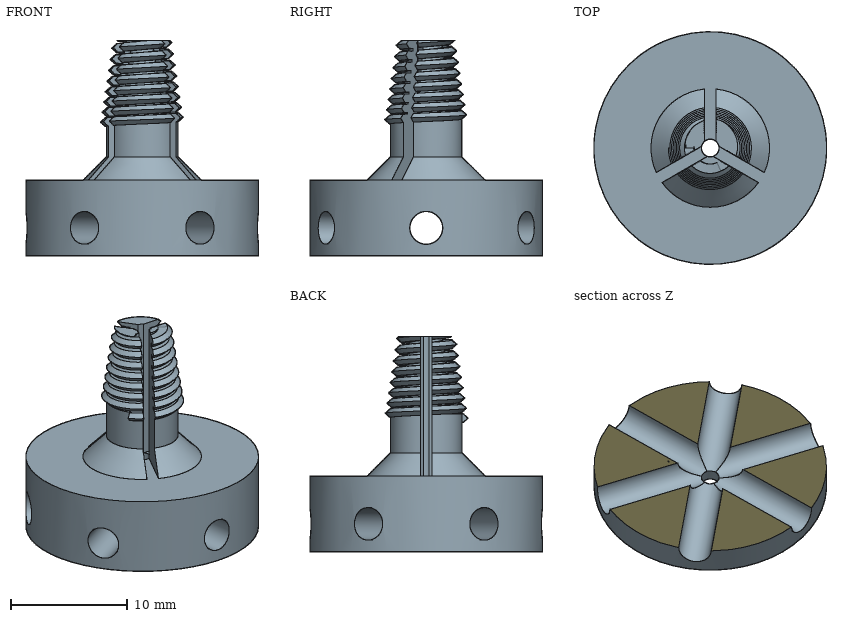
import cadquery as cq
import math

base_diameter = 20.0
base_height = 6.5
cross_hole_diameter = 2.8
cross_hole_height = 2.4
cross_hole_count = 3

total_height = 18.51
neck_radius = 3.09
foot_height = 2.0
foot_radius = neck_radius + foot_height
neck_top = 11.84
core_bottom_radius = 2.5
core_top_radius = 1.37

thread_turns = 8
thread_start_angle = 180
crest_start_height = 11.48
crest_start_radius = 3.6
crest_radius_step = 0.139
first_pitch = 0.839
pitch_growth = 0.0097
thread_half_width = 0.37
vee_depth = 0.41
thread_depth = 1.4
points_per_piece = 24

bore_diameter = 1.5
slot_width = 1.0
slot_length = base_diameter / 2
slot_angles = (90, 210, 330)
joint_slot_angle = slot_angles[1]


def make_base():
    """Disc with the tommy-bar holes running right across it."""
    base = cq.Workplane("XY").circle(base_diameter / 2).extrude(base_height)
    cross_hole = (
        cq.Workplane("YZ")
        .center(0, cross_hole_height)
        .circle(cross_hole_diameter / 2)
        .extrude(base_diameter / 2, both=True)
    )
    for index in range(cross_hole_count):
        angle = index * 180 / cross_hole_count
        base = base.cut(cross_hole.rotate((0, 0, 0), (0, 0, 1), angle))
    return base


def make_stem():
    """Foot, neck and core, turned from one half section."""
    return (
        cq.Workplane("XZ")
        .moveTo(0, base_height)
        .lineTo(foot_radius, base_height)
        .lineTo(neck_radius, base_height + foot_height)
        .lineTo(neck_radius, neck_top)
        .lineTo(core_bottom_radius, neck_top)
        .lineTo(core_top_radius, total_height)
        .lineTo(0, total_height)
        .close()
        .revolve(360, (0, 0), (0, 1))
    )


def thread_point(turn, inset, rise):
    """Point on the thread, inset from the crest radius and raised from the crest height."""
    radius = crest_start_radius - crest_radius_step * turn - inset
    height = crest_start_height + first_pitch * turn + pitch_growth * turn**2 + rise
    angle = math.radians(thread_start_angle + 360 * turn)
    return cq.Vector(radius * math.cos(angle), radius * math.sin(angle), height)


def make_thread():
    """Five-sided thread ridge; its inner side lies buried in the core."""
    profile = (
        (thread_depth, -thread_half_width),
        (vee_depth, -thread_half_width),
        (0, 0),
        (vee_depth, thread_half_width),
        (thread_depth, thread_half_width),
    )
    slot_turn = (joint_slot_angle - thread_start_angle) / 360
    joints = [0] + [slot_turn + turn for turn in range(thread_turns)] + [thread_turns]
    faces = []
    for first_turn, last_turn in zip(joints, joints[1:]):
        step = (last_turn - first_turn) / points_per_piece
        turns = [first_turn + step * index for index in range(points_per_piece + 1)]
        edges = []
        for inset, rise in profile:
            points = [thread_point(turn, inset, rise) for turn in turns]
            edges.append(cq.Edge.makeSpline(points))
        for index, edge in enumerate(edges):
            faces.append(cq.Face.makeRuledSurface(edges[index - 1], edge))
    for end_turn in (0, thread_turns):
        corners = [thread_point(end_turn, inset, rise) for inset, rise in profile]
        faces.append(cq.Face.makeFromWires(cq.Wire.makePolygon(corners, close=True)))

    ridge = cq.Solid.makeSolid(cq.Shell.makeShell(faces))
    return cq.Workplane(ridge.fix())


def cut_jaws(stem):
    """Saw the stem into jaws, down to the top of the base."""
    for angle in slot_angles:
        slot = (
            cq.Workplane("XY")
            .workplane(offset=base_height)
            .rect(slot_length, slot_width)
            .extrude(total_height - base_height)
            .translate((slot_length / 2, 0, 0))
            .rotate((0, 0, 0), (0, 0, 1), angle)
        )
        stem = stem.cut(slot)
    return stem


blank = (
    cq.Workplane("XY")
    .circle(base_diameter / 2)
    .circle(bore_diameter / 2)
    .extrude(total_height)
)
stem = make_stem().union(make_thread()).intersect(blank)
result = make_base().intersect(blank).union(cut_jaws(stem))